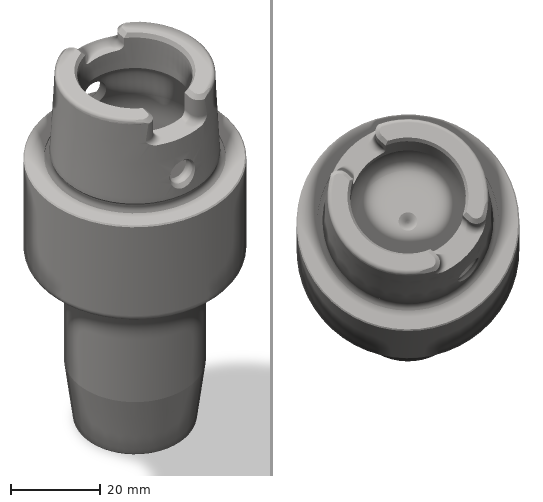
import cadquery as cq
import math

SHANK_TOP = 24.8
TOTAL_LENGTH = 99.9
NOSE_BOTTOM = SHANK_TOP - TOTAL_LENGTH

SELECTION_MARGIN = 0.1

FLANGE_DIAMETER = 50.0
FLANGE_RADIUS = FLANGE_DIAMETER / 2
FLANGE_CHAMFER = 0.3
FLANGE_CYLINDER_BOTTOM = -25.9
FLANGE_ROUND_BOTTOM = -27.7
FLANGE_ROUND_END_RADIUS = 24.0
FLANGE_CONE_BOTTOM = -30.4
FLANGE_ROUND_RADIUS = 2.0
NECK_FILLET = 0.8

BODY_RADIUS = 16.0
BODY_BOTTOM = -58.0
NOSE_RADIUS = 13.9
NOSE_FILLET = 0.8

SHANK_BASE_RADIUS = 19.2
SHANK_BASE_Z = 1.8
SHANK_TAPER = 1 / 20
RELIEF_RADIUS = 18.8
RELIEF_TOP = 1.2
RELIEF_FILLET = 1.0
RELIEF_GROOVE_RADIUS = 20.4
RELIEF_GROOVE_DEPTH = 0.4

BORE_RADIUS = 13.0
CHAMBER_TOP = 15.0
CHAMBER_RADIUS = 16.0
CHAMBER_WALL_BOTTOM = 5.1
CHAMBER_FLOOR_FILLET = 4.2
CENTRE_RADIUS = 2.1
CENTRE_POINT_ANGLE = 118

SLOT_HALF_WIDTH = 5.3
SLOT_DEPTH_LEFT = 4.3
SLOT_DEPTH_RIGHT = 7.3
SLOT_CORNER_RADIUS = 2.5
SLOT_FLOOR_FILLET = 1.5

RIM_ROUND = 1.0
RIM_Z = SHANK_TOP - RIM_ROUND
BORE_CHAMFER_WIDTH = 0.6
BORE_CHAMFER_HEIGHT = 1.0

CROSS_HOLE_Z = 7.6
CROSS_HOLE_RADIUS = 3.1
COUNTERSINK_RADIUS = 3.8


def shank_radius(z):
    return SHANK_BASE_RADIUS - SHANK_TAPER * (z - SHANK_BASE_Z)


def outer_body():
    half = (
        cq.Workplane("YZ")
        .moveTo(0, NOSE_BOTTOM)
        .lineTo(NOSE_RADIUS, NOSE_BOTTOM)
        .lineTo(BODY_RADIUS, BODY_BOTTOM)
        .lineTo(BODY_RADIUS, FLANGE_CONE_BOTTOM)
        .lineTo(FLANGE_ROUND_END_RADIUS, FLANGE_ROUND_BOTTOM)
        .radiusArc((FLANGE_RADIUS, FLANGE_CYLINDER_BOTTOM), -FLANGE_ROUND_RADIUS)
        .lineTo(FLANGE_RADIUS, -FLANGE_CHAMFER)
        .lineTo(FLANGE_RADIUS - FLANGE_CHAMFER, 0)
        .lineTo(RELIEF_GROOVE_RADIUS, 0)
        .lineTo(RELIEF_GROOVE_RADIUS, -RELIEF_GROOVE_DEPTH)
        .lineTo(RELIEF_RADIUS + RELIEF_FILLET, -RELIEF_GROOVE_DEPTH)
        .radiusArc((RELIEF_RADIUS, RELIEF_FILLET - RELIEF_GROOVE_DEPTH), RELIEF_FILLET)
        .lineTo(RELIEF_RADIUS, RELIEF_TOP)
        .lineTo(SHANK_BASE_RADIUS, SHANK_BASE_Z)
        .lineTo(shank_radius(RIM_Z), RIM_Z)
        .radiusArc((shank_radius(RIM_Z) - RIM_ROUND, SHANK_TOP), -RIM_ROUND)
        .lineTo(0, SHANK_TOP)
        .close()
    )
    body = half.revolve(360, (0, 0, 0), (0, 1, 0))
    neck_edge = cq.selectors.BoxSelector(
        (-FLANGE_RADIUS, -FLANGE_RADIUS, FLANGE_CONE_BOTTOM - SELECTION_MARGIN),
        (FLANGE_RADIUS, FLANGE_RADIUS, FLANGE_CONE_BOTTOM + SELECTION_MARGIN),
    )
    body = body.edges(neck_edge).fillet(NECK_FILLET)
    return body.faces("<Z").edges().fillet(NOSE_FILLET)


def bore():
    floor_z = CHAMBER_WALL_BOTTOM - CHAMBER_FLOOR_FILLET
    point_depth = CENTRE_RADIUS / math.tan(math.radians(CENTRE_POINT_ANGLE / 2))
    half = (
        cq.Workplane("YZ")
        .moveTo(0, SHANK_TOP)
        .lineTo(BORE_RADIUS + BORE_CHAMFER_WIDTH, SHANK_TOP)
        .lineTo(BORE_RADIUS, SHANK_TOP - BORE_CHAMFER_HEIGHT)
        .lineTo(BORE_RADIUS, CHAMBER_TOP)
        .lineTo(CHAMBER_RADIUS, CHAMBER_TOP)
        .lineTo(CHAMBER_RADIUS, CHAMBER_WALL_BOTTOM)
        .radiusArc((CHAMBER_RADIUS - CHAMBER_FLOOR_FILLET, floor_z), CHAMBER_FLOOR_FILLET)
        .lineTo(CENTRE_RADIUS, floor_z)
        .lineTo(0, floor_z - point_depth)
        .close()
    )
    return half.revolve(360, (0, 0, 0), (0, 1, 0))


def slot_cutter(depth):
    """Slot opening towards +X, flaring round the land corners, with a filleted floor."""
    floor_z = SHANK_TOP - depth
    wall_radius = shank_radius(floor_z)
    corner_y = SLOT_HALF_WIDTH + SLOT_CORNER_RADIUS
    corner_x = math.sqrt((wall_radius - SLOT_CORNER_RADIUS) ** 2 - corner_y ** 2)
    end_angle = math.atan2(corner_y, corner_x)
    middle_angle = (end_angle - math.pi / 2) / 2

    def corner_point(angle):
        return (
            corner_x + SLOT_CORNER_RADIUS * math.cos(angle),
            corner_y + SLOT_CORNER_RADIUS * math.sin(angle),
        )

    end_x, end_y = corner_point(end_angle)
    run_out = SLOT_CORNER_RADIUS
    out_x = end_x - run_out * math.sin(end_angle)
    out_y = end_y + run_out * math.cos(end_angle)

    def half_outline(z):
        return (
            cq.Workplane("XY", origin=(0, 0, z))
            .lineTo(0, SLOT_HALF_WIDTH)
            .lineTo(corner_x, SLOT_HALF_WIDTH)
            .threePointArc(corner_point(middle_angle), (end_x, end_y))
            .lineTo(out_x, out_y)
            .lineTo(FLANGE_RADIUS, out_y)
            .lineTo(FLANGE_RADIUS, 0)
            .close()
        )

    wall_edges = cq.selectors.BoxSelector(
        (0, SLOT_HALF_WIDTH - SELECTION_MARGIN, floor_z - SELECTION_MARGIN),
        (end_x, out_y - SELECTION_MARGIN, floor_z + SELECTION_MARGIN),
    )
    half = half_outline(floor_z).extrude(depth).edges(wall_edges).fillet(SLOT_FLOOR_FILLET)
    half = half.union(half_outline(RIM_Z).extrude(RIM_ROUND, taper=-45))
    return half.union(half.mirror("XZ"))


def cross_hole():
    """Through hole along X with a 45 degree countersink at each mouth."""
    mouth_x = shank_radius(CROSS_HOLE_Z)
    sink_start_x = mouth_x - (COUNTERSINK_RADIUS - CROSS_HOLE_RADIUS)
    end_x = mouth_x + COUNTERSINK_RADIUS - CROSS_HOLE_RADIUS
    end_radius = CROSS_HOLE_RADIUS + end_x - sink_start_x
    half = (
        cq.Workplane("XY", origin=(0, 0, CROSS_HOLE_Z))
        .moveTo(-end_x, 0)
        .lineTo(-end_x, end_radius)
        .lineTo(-sink_start_x, CROSS_HOLE_RADIUS)
        .lineTo(sink_start_x, CROSS_HOLE_RADIUS)
        .lineTo(end_x, end_radius)
        .lineTo(end_x, 0)
        .close()
    )
    return half.revolve(360, (0, 0, 0), (1, 0, 0))


part = outer_body().cut(bore())
part = part.cut(slot_cutter(SLOT_DEPTH_RIGHT))
part = part.cut(slot_cutter(SLOT_DEPTH_LEFT).mirror("YZ"))
result = part.cut(cross_hole())